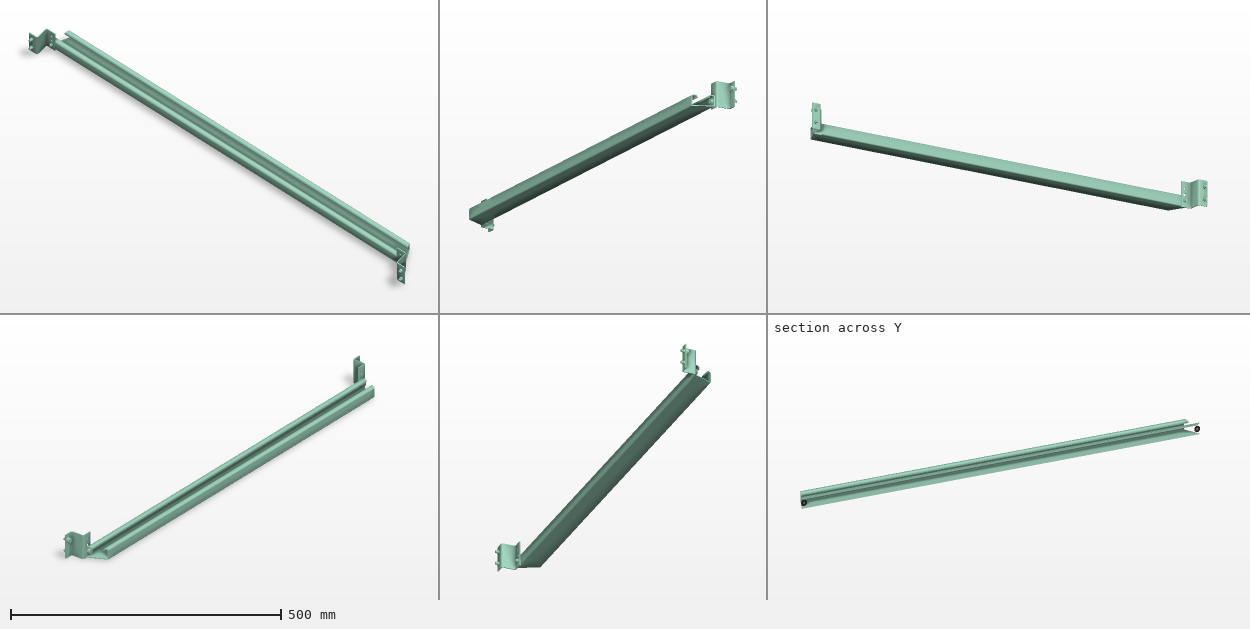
import cadquery as cq

length = 889.0
depth = 76.0
back_y = depth / 2
tip_y = -depth / 2

bracket_height = 50.0
bracket_depth = 29.0
bracket_width = 39.0
bracket_thick = 2.0
bracket_bend = 2.6
bracket_end_x = length / 2
bracket_inner_x = bracket_end_x - bracket_width
bracket_back_y = -2.0
bracket_front_y = bracket_back_y - bracket_depth
outer_flange_width = 18.0
web_outer_x = bracket_end_x - outer_flange_width
web_inner_x = web_outer_x - bracket_thick

rail_wall = 1.5
lip_bend = 2.5
floor_bend = 0.7
rail_height = 22.0
rail_top_z = -1.0
rail_bottom_z = rail_top_z - rail_height
rail_front_y = bracket_back_y
lip_width = 11.0
lip_depth = 5.8
rail_front_half = 420.5
rail_back_half = 402.0

hole_spacing_z = 24.0
hole_spacing_x = 25.0
hole_inset = 6.7
hole_z = hole_spacing_z / 2
outer_hole_x = bracket_end_x - hole_inset
inner_hole_x = outer_hole_x - hole_spacing_x
upper_hole_radius = 2.0
middle_hole_radius = 2.85

head_radius = 4.9
head_height = 5.5
flange_radius = 5.5
flange_height = 3.1
shank_radius = 4.0
shank_length = 5.2
tip_radius = 3.0
outer_seat_y = bracket_front_y + bracket_thick
inner_seat_y = rail_front_y + rail_wall
tip_length = outer_seat_y - shank_length - tip_y


def y_cylinder(x, z, start_y, end_y, radius):
    """Cylinder along Y between two Y positions."""
    base = cq.Workplane("XZ", origin=(x, start_y, z))
    return base.circle(radius).extrude(start_y - end_y)


def bent_sheet(plane, outline, bends, extrusion, thickness):
    """Sheet section extruded both ways from the plane.

    Each bend gives its outer corner, its inner corner and its inner radius.
    """
    base = cq.Workplane(plane)
    sheet = base.polyline(outline).close().extrude(extrusion / 2, both=True)
    for outer_corner, inner_corner, inner_radius in bends:
        for corner, radius in (
            (outer_corner, inner_radius + thickness),
            (inner_corner, inner_radius),
        ):
            middle = base.plane.toWorldCoords(corner).toTuple()
            sheet = sheet.edges(cq.NearestToPointSelector(middle)).fillet(radius)
    return sheet


def make_rail():
    """C-shaped rail, open upwards, with its two lips turned down."""
    front_lip_y = rail_front_y + lip_width
    back_lip_y = back_y - lip_width
    lip_z = rail_top_z - lip_depth
    outer = [
        (front_lip_y, rail_top_z),
        (rail_front_y, rail_top_z),
        (rail_front_y, rail_bottom_z),
        (back_y, rail_bottom_z),
        (back_y, rail_top_z),
        (back_lip_y, rail_top_z),
    ]
    inner = [
        (front_lip_y - rail_wall, rail_top_z - rail_wall),
        (rail_front_y + rail_wall, rail_top_z - rail_wall),
        (rail_front_y + rail_wall, rail_bottom_z + rail_wall),
        (back_y - rail_wall, rail_bottom_z + rail_wall),
        (back_y - rail_wall, rail_top_z - rail_wall),
        (back_lip_y + rail_wall, rail_top_z - rail_wall),
    ]
    front_lip_end = [(front_lip_y - rail_wall, lip_z), (front_lip_y, lip_z)]
    back_lip_end = [(back_lip_y, lip_z), (back_lip_y + rail_wall, lip_z)]
    outline = front_lip_end + outer + back_lip_end + inner[::-1]
    radii = [lip_bend, lip_bend, floor_bend, floor_bend, lip_bend, lip_bend]
    rail = bent_sheet("YZ", outline, zip(outer, inner, radii), length, rail_wall)

    trapezoid = [
        (-rail_front_half, rail_front_y),
        (rail_front_half, rail_front_y),
        (rail_back_half, back_y),
        (-rail_back_half, back_y),
    ]
    base = cq.Workplane("XY", origin=(0, 0, rail_bottom_z))
    rail = rail.intersect(base.polyline(trapezoid).close().extrude(rail_height))

    for side in (-1, 1):
        hole = y_cylinder(side * inner_hole_x, -hole_z, inner_seat_y, rail_front_y, shank_radius)
        rail = rail.cut(hole)
    return rail


def make_shank(x, seat_y, z):
    """Stepped pin pointing towards -Y from its seat."""
    shoulder_y = seat_y - shank_length
    shank = y_cylinder(x, z, seat_y, shoulder_y, shank_radius)
    return shank.union(y_cylinder(x, z, shoulder_y, shoulder_y - tip_length, tip_radius))


def make_bracket(side):
    """Bent plate whose outer flange lies in front of its inner flange."""
    web_outer = side * web_outer_x
    web_inner = side * web_inner_x
    flange_front_y = bracket_back_y - bracket_thick
    outline = [
        (side * bracket_end_x, bracket_front_y),
        (web_inner, bracket_front_y),
        (web_inner, flange_front_y),
        (side * bracket_inner_x, flange_front_y),
        (side * bracket_inner_x, bracket_back_y),
        (web_outer, bracket_back_y),
        (web_outer, outer_seat_y),
        (side * bracket_end_x, outer_seat_y),
    ]
    bends = [
        ((web_inner, bracket_front_y), (web_outer, outer_seat_y), bracket_bend),
        ((web_outer, bracket_back_y), (web_inner, flange_front_y), bracket_bend),
    ]
    bracket = bent_sheet("XY", outline, bends, bracket_height, bracket_thick)

    inner_x = side * inner_hole_x
    for z, radius in ((hole_z, upper_hole_radius), (0, middle_hole_radius), (-hole_z, shank_radius)):
        bracket = bracket.cut(y_cylinder(inner_x, z, bracket_back_y, flange_front_y, radius))

    outer_x = side * outer_hole_x
    bracket = bracket.cut(y_cylinder(outer_x, hole_z, outer_seat_y, bracket_front_y, shank_radius))
    return bracket.union(make_shank(outer_x, outer_seat_y, -hole_z))


def make_screw(x, seat_y, z):
    """Flanged screw with its head behind the seat and its tip towards -Y."""
    head = y_cylinder(x, z, seat_y + head_height, seat_y, head_radius)
    flange = y_cylinder(x, z, seat_y + flange_height, seat_y, flange_radius)
    return head.union(flange).union(make_shank(x, seat_y, z))


rail = make_rail()
brackets = []
screws = []
for side in (-1, 1):
    brackets.append(make_bracket(side))
    screws.append(make_screw(side * outer_hole_x, outer_seat_y, hole_z))
    screws.append(make_screw(side * inner_hole_x, inner_seat_y, -hole_z))

result = cq.Compound.makeCompound(
    [rail.val()]
    + [bracket.val() for bracket in brackets]
    + [screw.val() for screw in screws]
)